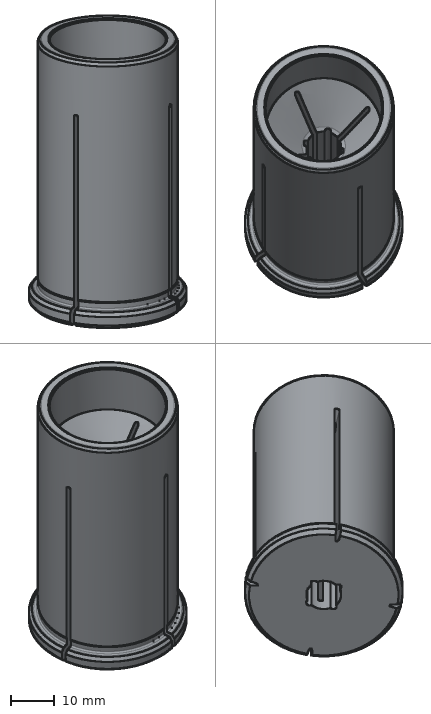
import cadquery as cq
import math

height = 64.0
body_radius = 16.0
flange_radius = 18.0

flange_height = 4.0
flange_chamfer = 0.95
flange_top_chamfer_width = 0.7
neck_radius = 15.9
neck_fillet = 0.4
neck_top = 5.6
neck_taper_height = 0.3

bore_radius = 13.25
rim_chamfer_width = 0.45
rim_chamfer_height = 0.9
bore_chamfer = 0.3

bevel_width = 0.4
bevel_height = 0.05

funnel_top = 51.85
funnel_bottom_radius = 4.9
funnel_angle = 45.0
lead_in_angle = 30.0
hole_radius = 4.0
relief_radius = 0.8
relief_spacing = 5.5

slot_width = 1.1
slot_top = 50.7
slot_floor_peak = 3.1
slot_floor_end_radius = 15.35
slot_count = 4


def revolve_profile(points):
    """Revolve a closed (radius, height) outline about Z."""
    return cq.Workplane("XZ").polyline(points).close().revolve(360, (0, 0), (0, 1))


def make_sleeve():
    """Solid flanged cylinder with its chamfers and relief groove."""
    flange_edge = flange_radius - flange_top_chamfer_width
    rim_edge = body_radius - rim_chamfer_width
    neck_middle = (
        neck_radius + neck_fillet * (1 - math.sqrt(0.5)),
        flange_height + neck_fillet * (1 - math.sqrt(0.5)),
    )
    return (
        cq.Workplane("XZ")
        .moveTo(0, 0)
        .lineTo(flange_radius - flange_chamfer, 0)
        .lineTo(flange_radius, flange_chamfer)
        .lineTo(flange_radius, flange_height - flange_chamfer)
        .lineTo(flange_edge, flange_height - bevel_height)
        .lineTo(flange_edge - bevel_width, flange_height)
        .lineTo(neck_radius + neck_fillet, flange_height)
        .threePointArc(neck_middle, (neck_radius, flange_height + neck_fillet))
        .lineTo(neck_radius, neck_top)
        .lineTo(body_radius, neck_top + neck_taper_height)
        .lineTo(body_radius, height - rim_chamfer_height)
        .lineTo(rim_edge, height - bevel_height)
        .lineTo(rim_edge - bevel_width, height)
        .lineTo(0, height)
        .close()
        .revolve(360, (0, 0), (0, 1))
    )


def make_cavity():
    """Bore, funnel, lead-in and through hole, with four corner reliefs."""
    funnel_drop = (bore_radius - funnel_bottom_radius) * math.tan(math.radians(funnel_angle))
    lead_in_drop = (funnel_bottom_radius - hole_radius) * math.tan(math.radians(lead_in_angle))
    funnel_bottom = funnel_top - funnel_drop
    round_cavity = revolve_profile([
        (0, 0),
        (hole_radius, 0),
        (hole_radius, funnel_bottom - lead_in_drop),
        (funnel_bottom_radius, funnel_bottom),
        (bore_radius, funnel_top),
        (bore_radius, height - bore_chamfer),
        (bore_radius + bore_chamfer, height),
        (0, height),
    ])
    reliefs = (
        cq.Workplane("XY")
        .rect(relief_spacing, relief_spacing, forConstruction=True)
        .vertices()
        .circle(relief_radius)
        .extrude(funnel_bottom)
    )
    return round_cavity.union(reliefs)


def make_slot():
    """Radial slot along +X, with a round top and a sloping rounded floor."""
    half_width = slot_width / 2
    blade = (
        cq.Workplane("YZ")
        .moveTo(-half_width, 0)
        .lineTo(half_width, 0)
        .lineTo(half_width, slot_top - half_width)
        .threePointArc((0, slot_top), (-half_width, slot_top - half_width))
        .close()
        .extrude(flange_radius + 0.65)
    )
    floor_run = slot_floor_end_radius - hole_radius
    floor_direction = cq.Vector(floor_run, 0, -slot_floor_peak)
    floor_plane = cq.Plane(
        origin=(slot_floor_end_radius, 0, 0),
        xDir=(0, 1, 0),
        normal=floor_direction.toTuple(),
    )
    above_floor = (
        cq.Workplane(floor_plane)
        .moveTo(-half_width, half_width)
        .threePointArc((0, 0), (half_width, half_width))
        .lineTo(half_width, height)
        .lineTo(-half_width, height)
        .close()
        .extrude(height, both=True)
    )
    return blade.intersect(above_floor)


result = make_sleeve().cut(make_cavity())
slot = make_slot()
for index in range(slot_count):
    result = result.cut(slot.rotate((0, 0, 0), (0, 0, 1), index * 360 / slot_count))